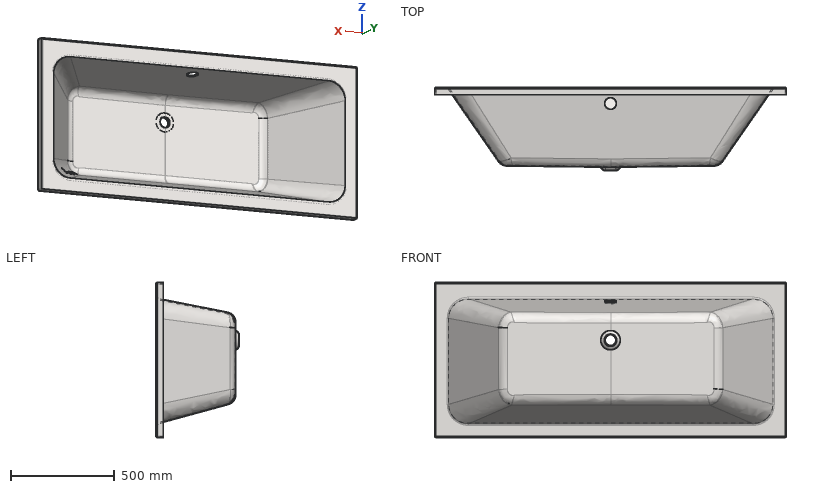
import cadquery as cq
import math


rim_length = 1700.0
rim_width = 750.0
rim_height = 36.0
rim_edge_radius = 9.0
sheet = 6.0

floor_depth_middle = 386.5
floor_depth_ends = 380.0
mouth_end_x = 786.0
mouth_back_z = 298.0
mouth_front_z = -309.0
mouth_corner_radius = 95.0
base_end_x = 526.0
base_back_z = 224.0
base_front_z = -207.0
base_corner_radius = 70.0
floor_edge_radius = 52.0
rim_blend_radius = 8.0

overall_depth = 402.2
drain_z = 95.5
drain_hole_radius = 26.0
drain_base_radius = 48.0
drain_shoulder_radius = 41.0
drain_shoulder_depth = 395.0
drain_end_radius = 30.0
overflow_radius = 28.0
overflow_depth = 78.0

basin_height = floor_depth_ends - sheet
end_slope = (mouth_end_x - base_end_x) / basin_height
back_slope = (mouth_back_z - base_back_z) / basin_height
front_slope = (base_front_z - mouth_front_z) / basin_height
corner_slope = (mouth_corner_radius - base_corner_radius) / basin_height


def basin_section(depth, inset):
    """Rounded rectangle of the basin at a depth, with its walls moved inwards by inset."""
    below_mouth = depth - sheet
    end_x = mouth_end_x - end_slope * below_mouth - inset * math.hypot(1, end_slope)
    back_z = mouth_back_z - back_slope * below_mouth - inset * math.hypot(1, back_slope)
    front_z = mouth_front_z + front_slope * below_mouth + inset * math.hypot(1, front_slope)
    corner_radius = mouth_corner_radius - corner_slope * below_mouth - inset
    sketch = cq.Sketch().rect(2 * end_x, back_z - front_z).vertices().fillet(corner_radius)
    middle = cq.Vector(0, -depth, (back_z + front_z) / 2)
    return sketch.moved(cq.Plane(middle, (1, 0, 0), (0, -1, 0)).location)


def floor_depth_at(x):
    """Depth of the outside floor, which falls from both ends to a crease at X = 0."""
    return floor_depth_middle - (floor_depth_middle - floor_depth_ends) * abs(x) / base_end_x


def basin_body(top_depth, inset):
    """Solid basin from top_depth to the floor, moved inwards by inset and rounded at the floor."""
    walls = (
        cq.Workplane("XY")
        .placeSketch(basin_section(top_depth, inset), basin_section(floor_depth_middle + sheet, inset))
        .loft(ruled=True)
    )
    half_length = rim_length / 2
    side_depth = inset - floor_depth_at(half_length)
    space_above_floor = (
        cq.Workplane("XY")
        .moveTo(-half_length, sheet)
        .lineTo(-half_length, side_depth)
        .lineTo(0, inset - floor_depth_middle)
        .lineTo(half_length, side_depth)
        .lineTo(half_length, sheet)
        .close()
        .extrude(rim_width / 2, both=True)
    )
    body = walls.intersect(space_above_floor)
    return body.faces("<Y").edges("not <Y").fillet(floor_edge_radius - inset)


def rim_block():
    """Solid rim with rounded upright corners and a rounded top edge."""
    block = cq.Workplane("XY").box(rim_length, rim_height, rim_width).translate((0, -rim_height / 2, 0))
    return block.edges("|Y").fillet(rim_edge_radius).faces(">Y").edges().fillet(rim_edge_radius)


def rim_recess():
    """Space under the rim, leaving the top sheet and a skirt all round."""
    recess_height = rim_height - sheet
    return (
        cq.Workplane("XY")
        .box(rim_length - 2 * sheet, recess_height, rim_width - 2 * sheet)
        .edges("|Y")
        .fillet(rim_edge_radius - sheet)
        .translate((0, -sheet - recess_height / 2, 0))
    )


def drain_boss():
    """Round drain outlet with a curved shoulder, sunk into the floor sheet and revolved about Y."""
    root_depth = floor_depth_middle - sheet / 2
    profile = (
        cq.Workplane("XY")
        .moveTo(0, -root_depth)
        .lineTo(drain_base_radius, -root_depth)
        .threePointArc((drain_shoulder_radius, -drain_shoulder_depth), (drain_end_radius, -overall_depth))
        .lineTo(0, -overall_depth)
        .close()
    )
    return profile.revolve(360, (0, 0, 0), (0, 1, 0)).translate((0, 0, drain_z))


def drain_hole():
    """Bore along Y through the floor and the drain boss."""
    start = cq.Vector(0, -overall_depth, drain_z)
    return cq.Workplane(cq.Solid.makeCylinder(drain_hole_radius, overall_depth, start, cq.Vector(0, 1, 0)))


def overflow_hole():
    """Bore along Z through the back wall only."""
    start = cq.Vector(0, -overflow_depth, 0)
    return cq.Workplane(cq.Solid.makeCylinder(overflow_radius, rim_width / 2, start, cq.Vector(0, 0, 1)))


tub = rim_block().cut(rim_recess()).union(basin_body(sheet / 2, 0))
rim_joint = cq.selectors.BoxSelector(
    (-mouth_end_x - sheet, -1.5 * sheet, mouth_front_z - sheet),
    (mouth_end_x + sheet, -sheet / 2, mouth_back_z + sheet),
    boundingbox=True,
)
tub = tub.edges(rim_joint).fillet(rim_blend_radius)
tub = tub.union(drain_boss())
tub = tub.cut(basin_body(-sheet, sheet)).cut(drain_hole()).cut(overflow_hole())

result = tub.solids()